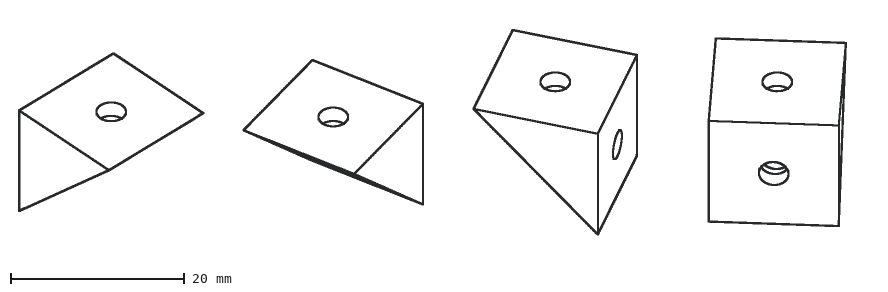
import cadquery as cq

side = 15.0
hole_diameter = 3.4
counterbore_diameter = 6.0
wall = 2.0
middle = side / 2

wedge = (
    cq.Workplane("XZ")
    .polyline([(0, 0), (0, side), (side, side)])
    .close()
    .extrude(-side)
)


def screw_cutter(start, direction):
    """Screw hole entering a square face, widening to a counterbore open to the slope."""
    entry = cq.Vector(*start)
    inward = cq.Vector(*direction)
    hole = cq.Solid.makeCylinder(hole_diameter / 2, side, entry, inward)
    counterbore = cq.Solid.makeCylinder(
        counterbore_diameter / 2, side - wall, entry + inward * wall, inward
    )
    return hole.fuse(counterbore)


top_cutter = screw_cutter((middle, middle, side), (0, 0, -1))
side_cutter = screw_cutter((0, middle, middle), (1, 0, 0))

result = wedge.cut(top_cutter).cut(side_cutter)